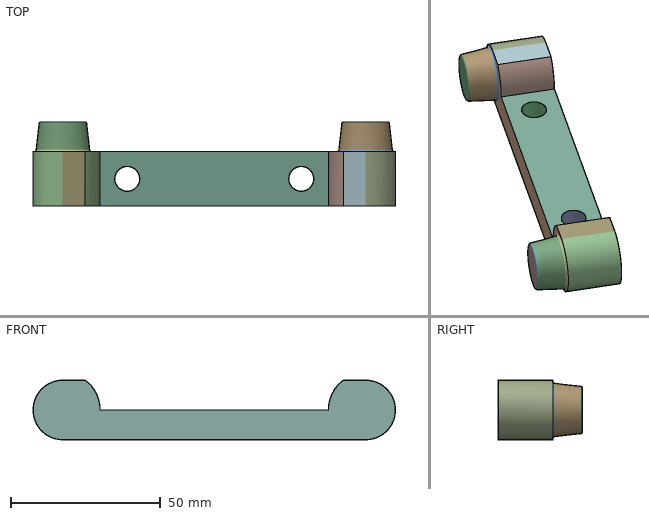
import cadquery as cq
import math

length = 121.1
height = 20.0
body_depth = 18.3
end_radius = height / 2
bar_height = height / 2
knob_inner_radius = 12.5
knob_x = length / 2 - end_radius

total_depth = 28.2
pin_base_radius = 9.0
pin_tip_radius = 8.0
pin_tip_round = 0.7
pin_foot_round = 0.6

hole_diameter = 8.2
hole_spacing = 58.1


def make_body():
    """Extrude the bar outline, with its rounded ends and raised knobs, along Y."""
    inner_x = knob_x - knob_inner_radius
    flat_edge_x = knob_x - math.sqrt(knob_inner_radius**2 - (height - end_radius) ** 2)
    arc_angle = math.asin((height - end_radius) / knob_inner_radius) / 2
    arc_mid_x = knob_x - knob_inner_radius * math.cos(arc_angle)
    arc_mid_z = end_radius + knob_inner_radius * math.sin(arc_angle)
    return (
        cq.Workplane("XZ", origin=(0, body_depth, 0))
        .moveTo(-knob_x, 0)
        .lineTo(knob_x, 0)
        .threePointArc((length / 2, end_radius), (knob_x, height))
        .lineTo(flat_edge_x, height)
        .threePointArc((arc_mid_x, arc_mid_z), (inner_x, bar_height))
        .lineTo(-inner_x, bar_height)
        .threePointArc((-arc_mid_x, arc_mid_z), (-flat_edge_x, height))
        .lineTo(-knob_x, height)
        .threePointArc((-length / 2, end_radius), (-knob_x, 0))
        .close()
        .extrude(body_depth)
    )


def make_pin(x):
    """Revolve a tapered pin with a flared foot and a rounded tip about the knob axis."""
    foot_y = body_depth + pin_foot_round
    shoulder_y = total_depth - pin_tip_round
    return (
        cq.Workplane("XY", origin=(x, 0, end_radius))
        .moveTo(0, body_depth)
        .lineTo(pin_base_radius + pin_foot_round, body_depth)
        .radiusArc((pin_base_radius, foot_y), pin_foot_round)
        .lineTo(pin_tip_radius, shoulder_y)
        .radiusArc((pin_tip_radius - pin_tip_round, total_depth), -pin_tip_round)
        .lineTo(0, total_depth)
        .close()
        .revolve(360, (0, 0, 0), (0, 1, 0))
    )


def make_hole(x):
    """Vertical cylinder that cuts one mounting hole at mid depth."""
    return (
        cq.Workplane("XY")
        .center(x, body_depth / 2)
        .circle(hole_diameter / 2)
        .extrude(height)
    )


result = make_body()
for side in (-1, 1):
    result = result.union(make_pin(side * knob_x))
    result = result.cut(make_hole(side * hole_spacing / 2))